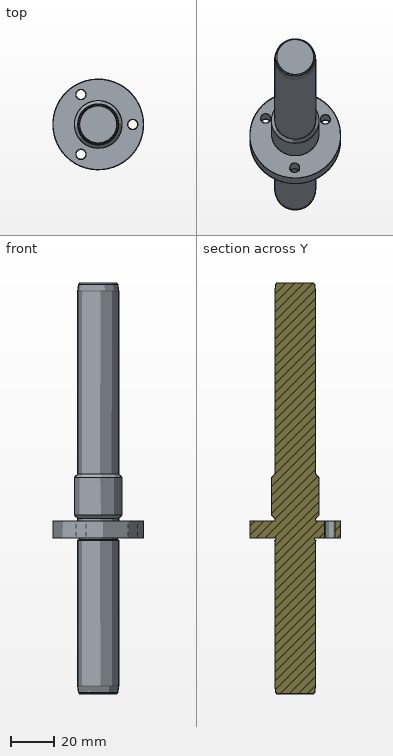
import cadquery as cq

shaft_length = 190.0
shaft_radius = 9.5
taper_end_radius = 9.1
taper_length = 2.8
tip_radius = 8.5
tip_length = 0.8

flange_radius = 42.0 / 2
flange_bottom = 72.0
flange_thickness = 8.0
flange_top = flange_bottom + flange_thickness
relief_radius = 9.0
relief_straight_length = 0.5
relief_cone_length = 0.5

collar_radius = 11.0
collar_gap = 1.1
collar_bottom = flange_top + collar_gap
collar_top = 101.6
collar_chamfer = collar_radius - shaft_radius

hole_count = 3
hole_diameter = 4.5
hole_circle_radius = 16.0


def turned_body():
    """Revolve the half section of the shaft, flange and collar about Z."""
    taper_start = tip_length + taper_length
    relief_top = flange_bottom - relief_straight_length
    outline = [
        (0, 0),
        (tip_radius, 0),
        (taper_end_radius, tip_length),
        (shaft_radius, taper_start),
        (shaft_radius, relief_top - relief_cone_length),
        (relief_radius, relief_top),
        (relief_radius, flange_bottom),
        (flange_radius, flange_bottom),
        (flange_radius, flange_top),
        (shaft_radius, flange_top),
        (shaft_radius, collar_bottom),
        (collar_radius, collar_bottom + collar_chamfer),
        (collar_radius, collar_top - collar_chamfer),
        (shaft_radius, collar_top),
        (shaft_radius, shaft_length - taper_start),
        (taper_end_radius, shaft_length - tip_length),
        (tip_radius, shaft_length),
        (0, shaft_length),
    ]
    return cq.Workplane("XZ").polyline(outline).close().revolve(360, (0, 0), (0, 1))


def flange_holes():
    """Through holes evenly spaced round the flange, the first on +X."""
    return (
        cq.Workplane("XY", origin=(0, 0, flange_bottom))
        .polarArray(hole_circle_radius, 0, 360, hole_count)
        .circle(hole_diameter / 2)
        .extrude(flange_thickness)
    )


result = turned_body().cut(flange_holes())